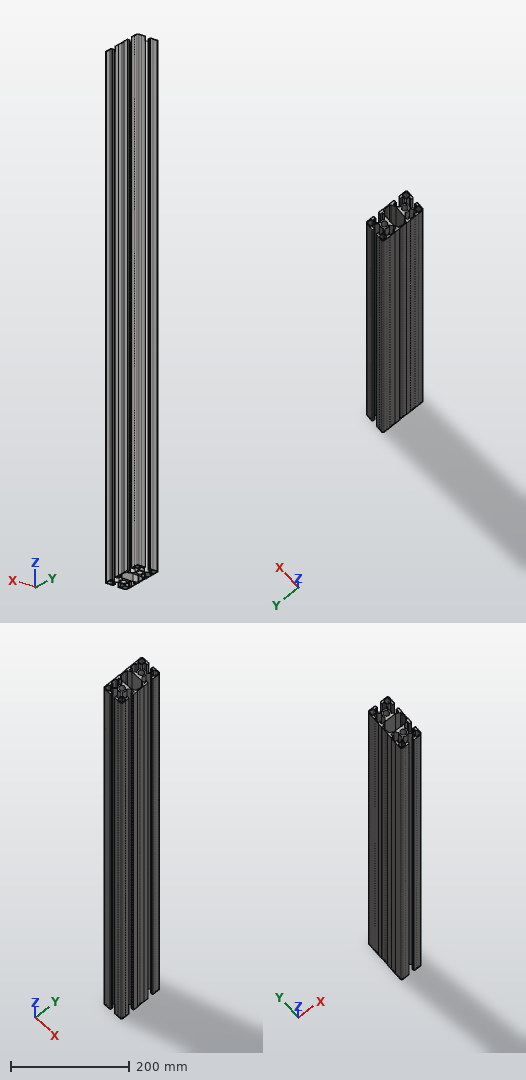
import cadquery as cq
import math

module = 45.0
width = module
height = 2 * module
length = 1000.0
corner_radius = 3.0
module_centers = [(0, -module / 2), (0, module / 2)]

slot_opening = 10.2
mouth_chamfer_width = 0.5
mouth_chamfer_depth = 1.6
lip_tip_depth = 5.9
lip_root_depth = 4.3
lip_hook_width = 0.5
lip_slope_width = 1.0
slot_inner_width = 20.5
cover_thickness = 1.5

core_radius = 8.25
core_bore = 11.0
web_thickness = 2.5

corner_hollow_size = 9.0
corner_hollow_wall = 1.8
corner_hollow_radius = 0.4

chamber_width = 41.0
chamber_height = 16.0
chamber_radius = 6.5
chamber_peak_width = 23.0
chamber_peak_height = 24.0
chamber_slope_run = 8.0

recess_width = 15.0
recess_depth = 0.5


def slot_mouth_open():
    """Right half of a chamfered mouth, from the outer face inwards."""
    half_opening = slot_opening / 2
    return [(half_opening + mouth_chamfer_width, 0), (half_opening, -mouth_chamfer_depth)]


def slot_mouth_covered():
    """Right half of a mouth closed by a thin cover flush with the outer face."""
    return [(slot_opening / 2, -cover_thickness)]


def slot_cavity(mouth):
    """Slot with its outer face on y = 0 and its floor formed by the round core."""
    half_opening = slot_opening / 2
    half_inner = slot_inner_width / 2
    hook_end = half_opening + lip_hook_width
    web_apex_depth = module / 2 - web_thickness / math.sqrt(2)
    right_side = mouth + [
        (half_opening, -lip_tip_depth),
        (hook_end, -lip_tip_depth),
        (hook_end + lip_slope_width, -lip_root_depth),
        (half_inner, -lip_root_depth),
        (half_inner, half_inner - web_apex_depth),
    ]
    left_side = [(-x, y) for x, y in reversed(right_side)]
    outline = right_side + [(0, -web_apex_depth)] + left_side
    cavity = cq.Workplane("XY").polyline(outline).close().extrude(length)
    core = cq.Workplane("XY").center(0, -module / 2).circle(core_radius).extrude(length)
    return cavity.cut(core)


def place_slot(cavity, angle, center):
    """Move a slot to the face of a module that lies in the direction angle + 90 degrees."""
    moved = cavity.translate((0, module / 2, 0)).rotate((0, 0, 0), (0, 0, 1), angle)
    return moved.translate((center[0], center[1], 0))


def rounded_bars(size_x, size_y, radius, centers):
    bars = cq.Workplane("XY").pushPoints(centers).rect(size_x, size_y).extrude(length)
    return bars.edges("|Z").fillet(radius)


def cut_slots(body):
    open_slot = slot_cavity(slot_mouth_open())
    covered_slot = slot_cavity(slot_mouth_covered())
    lower_module, upper_module = module_centers
    body = body.cut(place_slot(open_slot, 0, upper_module))
    body = body.cut(place_slot(open_slot, 180, lower_module))
    for center in module_centers:
        body = body.cut(place_slot(open_slot, -90, center))
        body = body.cut(place_slot(covered_slot, 90, center))
    return body


def core_bores():
    return cq.Workplane("XY").pushPoints(module_centers).circle(core_bore / 2).extrude(length)


def corner_hollows():
    inset = corner_hollow_wall + corner_hollow_size / 2
    x = width / 2 - inset
    y = height / 2 - inset
    centers = [(-x, -y), (x, -y), (x, y), (-x, y)]
    return rounded_bars(corner_hollow_size, corner_hollow_size, corner_hollow_radius, centers)


def center_chamber():
    chamber = rounded_bars(chamber_width, chamber_height, chamber_radius, [(0, 0)])
    peak_x = chamber_peak_width / 2
    peak_y = chamber_peak_height / 2
    base_x = peak_x + chamber_slope_run
    base_y = chamber_height / 2
    right_side = [(peak_x, peak_y), (base_x, base_y), (base_x, -base_y), (peak_x, -peak_y)]
    left_side = [(-x, y) for x, y in reversed(right_side)]
    deepening = cq.Workplane("XY").polyline(right_side + left_side).close().extrude(length)
    return chamber.union(deepening)


def face_recesses():
    centers = [(-width / 2, 0), (width / 2, 0)]
    return cq.Workplane("XY").pushPoints(centers).rect(2 * recess_depth, recess_width).extrude(length)


def make_profile():
    body = rounded_bars(width, height, corner_radius, [(0, 0)])
    body = cut_slots(body)
    body = body.cut(core_bores())
    body = body.cut(corner_hollows())
    body = body.cut(center_chamber())
    return body.cut(face_recesses())


result = make_profile()